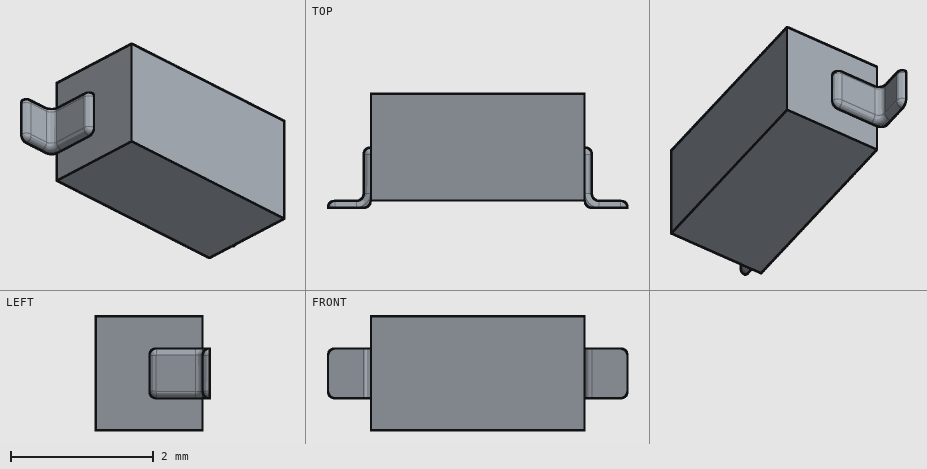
import cadquery as cq

overall_length = 4.2
overall_depth = 1.6

body_length = 3.0
body_height = 1.6

lead_thickness = 0.1
lead_width = 0.7
lead_rise = 0.85
bend_radius = lead_thickness
corner_radius = lead_thickness
edge_gap = 0.005
edge_radius = lead_thickness - edge_gap

mounting_y = -overall_depth / 2
body_back_y = overall_depth / 2
body_depth = overall_depth - lead_thickness
body_end_x = body_length / 2
lead_end_x = overall_length / 2
upright_top_y = mounting_y + lead_rise


def make_body():
    return cq.Workplane("XY").box(body_length, body_depth, body_height).translate(
        (0, body_back_y - body_depth / 2, 0)
    )


def make_lead():
    """L-shaped lead on the +X end, its upright flat against the body."""
    upright_outer_x = body_end_x + lead_thickness
    foot_inner_y = mounting_y + lead_thickness
    lead = (
        cq.Workplane("XY")
        .moveTo(body_end_x, upright_top_y)
        .lineTo(body_end_x, mounting_y + bend_radius)
        .radiusArc((body_end_x + bend_radius, mounting_y), -bend_radius)
        .lineTo(lead_end_x, mounting_y)
        .lineTo(lead_end_x, foot_inner_y)
        .lineTo(upright_outer_x + bend_radius, foot_inner_y)
        .radiusArc((upright_outer_x, foot_inner_y + bend_radius), bend_radius)
        .lineTo(upright_outer_x, upright_top_y)
        .close()
        .extrude(lead_width / 2, both=True)
    )
    lead = lead.faces(">X").edges("|Y").fillet(corner_radius)
    lead = lead.faces(">Y").edges("|X").fillet(corner_radius)

    upright_point = cq.selectors.NearestToPointSelector(
        (upright_outer_x, upright_top_y - lead_rise / 2, 0)
    )
    return lead.faces(upright_point).edges("|Y").fillet(edge_radius)


right_lead = make_lead()
left_lead = right_lead.mirror("YZ")
result = make_body().union(right_lead).union(left_lead)